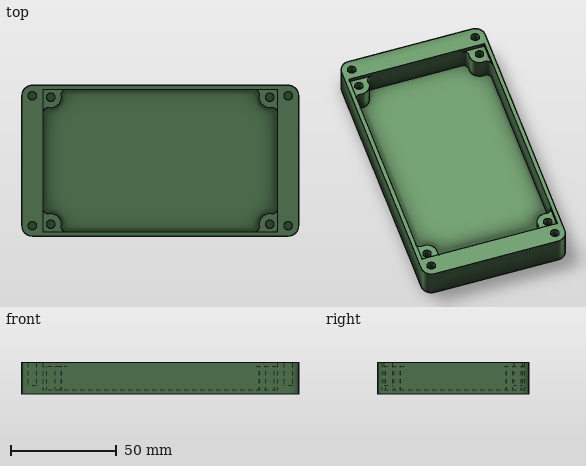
import cadquery as cq
import math

length = 130.9
width = 71.4
height = 15.0
corner_radius = 5.0

end_wall = 10.0
side_wall = 2.0
floor_thickness = 2.0
cavity_length = length - 2 * end_wall
cavity_width = width - 2 * side_wall
cavity_depth = height - floor_thickness

boss_radius = 5.0
boss_inset = 3.7
boss_fillet = 2.5
boss_drop = 2.0
boss_height = cavity_depth - boss_drop
boss_x = cavity_length / 2 - boss_inset
boss_y = cavity_width / 2 - boss_inset

hole_diameter = 4.0
hole_depth = boss_height
mount_x = length / 2 - corner_radius
mount_y = width / 2 - corner_radius


def four_corners(x, y):
    """Points mirrored about both centre planes."""
    return [(sx * x, sy * y) for sx in (-1, 1) for sy in (-1, 1)]


def make_body():
    """Block with rounded vertical edges."""
    block = cq.Workplane("XY").box(length, width, height, centered=(True, True, False))
    return block.edges("|Z").fillet(corner_radius)


def make_cavity():
    """Rectangular volume removed from the body."""
    floor = cq.Workplane("XY").workplane(offset=floor_thickness)
    return floor.rect(cavity_length, cavity_width).extrude(cavity_depth)


def make_boss(sign_x, sign_y):
    """Round corner boss, blended into both cavity walls by tangent fillets."""
    wall_x = cavity_length / 2
    wall_y = cavity_width / 2

    def at(from_x_wall, from_y_wall):
        return (sign_x * (wall_x - from_x_wall), sign_y * (wall_y - from_y_wall))

    center_gap = boss_radius + boss_fillet
    drop = boss_inset - boss_fillet
    flare = boss_inset + math.sqrt(center_gap**2 - drop**2)
    touch_along = boss_inset + (flare - boss_inset) * boss_radius / center_gap
    touch_out = boss_inset - drop * boss_radius / center_gap
    tip = boss_inset + boss_radius * math.sqrt(0.5)

    half_turn = (math.pi - math.acos(drop / center_gap)) / 2
    fillet_along = flare - boss_fillet * math.sin(half_turn)
    fillet_out = boss_fillet * (1 - math.cos(half_turn))
    return (
        cq.Workplane("XY")
        .workplane(offset=floor_thickness)
        .moveTo(*at(0, 0))
        .lineTo(*at(flare, 0))
        .threePointArc(at(fillet_along, fillet_out), at(touch_along, touch_out))
        .threePointArc(at(tip, tip), at(touch_out, touch_along))
        .threePointArc(at(fillet_out, fillet_along), at(0, flare))
        .close()
        .extrude(boss_height)
    )


def make_holes(x, y, top):
    """Four blind holes going down from the given level."""
    plane = cq.Workplane("XY").workplane(offset=top)
    return plane.pushPoints(four_corners(x, y)).circle(hole_diameter / 2).extrude(-hole_depth)


tray = make_body().cut(make_cavity())
for sign_x, sign_y in four_corners(1, 1):
    tray = tray.union(make_boss(sign_x, sign_y))
tray = tray.cut(make_holes(mount_x, mount_y, height))
result = tray.cut(make_holes(boss_x, boss_y, floor_thickness + boss_height))